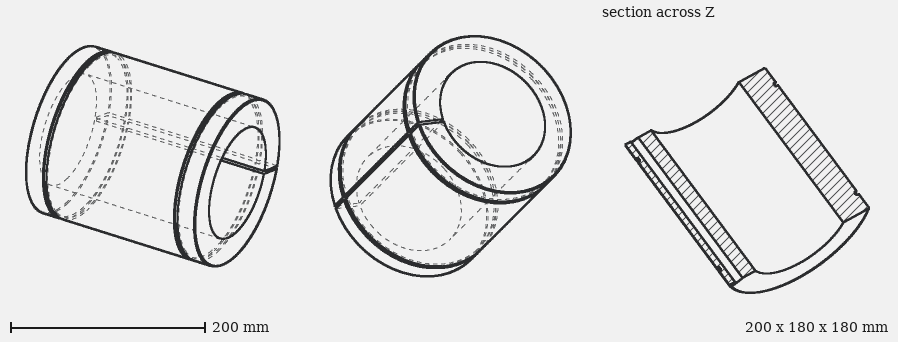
import cadquery as cq

length = 200.0
outer_diameter = 180.0
bore_diameter = 120.0
edge_chamfer = 1.0

groove_width = 4.2
groove_depth = 2.5
groove_offset = 20.5

slit_width = 3.0
slit_angle = -20.0


def tube(start, tube_length, outer, inner):
    """Tube along X whose first face is at x = start."""
    return (
        cq.Workplane("YZ", origin=(start, 0, 0))
        .circle(outer / 2)
        .circle(inner / 2)
        .extrude(tube_length)
    )


def make_body():
    cylinder = cq.Workplane("YZ").circle(outer_diameter / 2).extrude(length / 2, both=True)
    bore = cq.Workplane("YZ").circle(bore_diameter / 2).extrude(length / 2, both=True)
    return cylinder.faces("<X or >X").chamfer(edge_chamfer).cut(bore)


def make_slit():
    slit = cq.Workplane("XY").box(length, outer_diameter, slit_width, centered=(True, False, True))
    return slit.rotate((0, 0, 0), (1, 0, 0), slit_angle)


result = make_body()
for start in (-length / 2 + groove_offset, length / 2 - groove_offset - groove_width):
    groove_floor = outer_diameter - 2 * groove_depth
    result = result.cut(tube(start, groove_width, outer_diameter, groove_floor))
result = result.cut(make_slit())